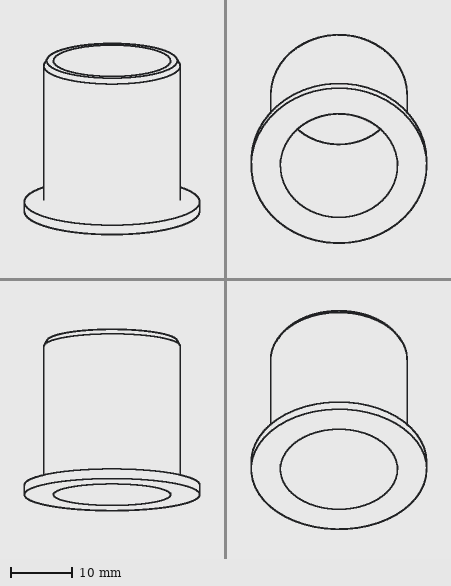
import cadquery as cq

flange_diameter = 28.57
flange_thickness = 1.6
total_height = 25.4
sleeve_diameter = 22.23
bore_diameter = 19.05
fillet_radius = 0.5
chamfer_width = 0.49
chamfer_height = 0.85

flange = cq.Workplane("XY").circle(flange_diameter / 2).extrude(flange_thickness)
sleeve = cq.Workplane("XY").circle(sleeve_diameter / 2).extrude(total_height)

sleeve = sleeve.faces(">Z").edges().chamfer(chamfer_height, chamfer_width)
body = flange.union(sleeve)

sleeve_foot = cq.selectors.RadiusNthSelector(0)
body = body.faces("<Z[1]").edges(sleeve_foot).fillet(fillet_radius)

bore = cq.Workplane("XY").circle(bore_diameter / 2).extrude(total_height)
result = body.cut(bore)